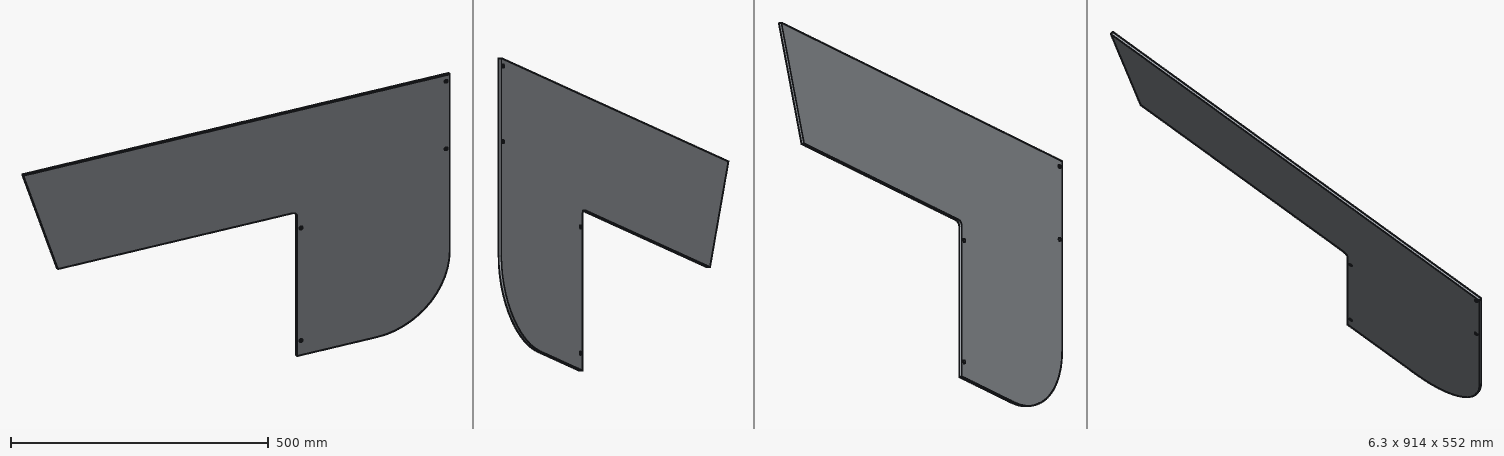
import cadquery as cq

thickness = 6.3
length = 914.0
height = 552.0

leg_width = 327.0
arm_height = 229.0
arm_end_slant = 74.0
outer_corner_radius = 156.0
inner_corner_radius = 10.0

hole_diameter = 6.8
hole_edge_inset = 8.0
outer_hole_depths = (14.0, 165.5)
inner_hole_heights = (33.0, 286.0)

outer_y = length / 2
arm_tip_y = -length / 2
inner_y = outer_y - leg_width
top_z = height / 2
bottom_z = -height / 2
arm_bottom_z = top_z - arm_height


def make_plate():
    """L-shaped plate with a slanted arm end and rounded corners."""
    plate = (
        cq.Workplane("YZ")
        .moveTo(outer_y, top_z)
        .lineTo(arm_tip_y, top_z)
        .lineTo(arm_tip_y + arm_end_slant, arm_bottom_z)
        .lineTo(inner_y, arm_bottom_z)
        .lineTo(inner_y, bottom_z)
        .lineTo(outer_y, bottom_z)
        .close()
        .extrude(thickness / 2, both=True)
    )
    outer_corner = cq.NearestToPointSelector((0, outer_y, bottom_z))
    inner_corner = cq.NearestToPointSelector((0, inner_y, arm_bottom_z))
    plate = plate.edges("|X").edges(outer_corner).fillet(outer_corner_radius)
    return plate.edges("|X").edges(inner_corner).fillet(inner_corner_radius)


def make_hole_cutters():
    """Cylinders along X for every hole in the plate."""
    outer_holes = [(outer_y - hole_edge_inset, top_z - depth) for depth in outer_hole_depths]
    inner_holes = [(inner_y + hole_edge_inset, bottom_z + rise) for rise in inner_hole_heights]
    return (
        cq.Workplane("YZ")
        .pushPoints(outer_holes + inner_holes)
        .circle(hole_diameter / 2)
        .extrude(thickness, both=True)
    )


result = make_plate().cut(make_hole_cutters())